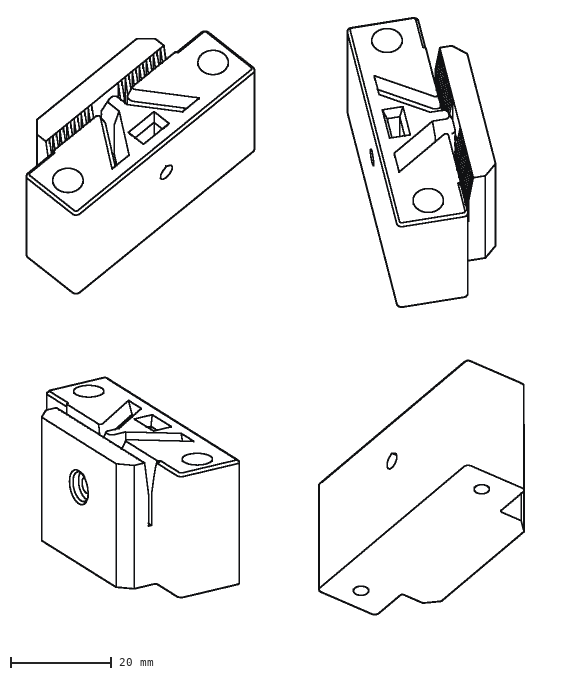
import cadquery as cq
import math

WIDTH = 22.15
LENGTH = 51.0
HEIGHT = 26.5

BODY_FACE_X = 7.75
BODY_CORNER_RADIUS = 1.0
TOP_CHAMFER = 0.55

PLATE_HALF_LENGTH = 16.7
PLATE_CHAMFER = 2.6
ROOT_RADIUS = 0.5

CHANNEL_DEPTH = 13.75
CHANNEL_FRONT_X = 5.05
CHANNEL_END_X = 19.2
SLOT_FLARE_DEPTH = 7.0
BRANCH_SLOPE = math.tan(math.radians(35.2))

TOOTH_PITCH = 2.0
TOOTH_WIDTH = TOOTH_PITCH / 2
TOOTH_HEIGHT = 0.9
TEETH_PER_SIDE = 7

OUTER_END_Y = 12.35
OUTER_CORNER_RADIUS = 0.5
OUTER_FLARE = 1.05
OUTER_FLARE_DEPTH = 2.55

NOSE_X = 6.65
NOSE_WIDTH = 2.3
NOSE_SHOULDER_X = 10.15
NOSE_RADIUS = 0.85
NOSE_FLARE = 1.0
NOSE_FLARE_DEPTH = 3.65

NUT_CENTER_X = 17.25
NUT_THICKNESS = 2.55
NUT_WIDTH = 5.6
NUT_FLARE = 0.8
NUT_FLARE_DEPTH = 2.05
NUT_POCKET_FLOOR_Z = 13.25

CLAMP_HOLE_Z = 16.45
CLAMP_HOLE_DIAMETER = 3.3
CLAMP_HOLE_TIP_HEIGHT = 1.95
CLAMP_BORE_DIAMETER = 6.0
CLAMP_BORE_DEPTH = 1.8
CLAMP_BORE_CHAMFER = 0.5

MOUNT_X = (BODY_FACE_X + WIDTH) / 2
MOUNT_Y = 20.5
MOUNT_HOLE_DIAMETER = 3.0
MOUNT_BORE_DIAMETER = 6.0
MOUNT_BORE_DEPTH = HEIGHT / 2


def make_body():
    body = (
        cq.Workplane("XY")
        .center(MOUNT_X, 0)
        .rect(WIDTH - BODY_FACE_X, LENGTH)
        .extrude(HEIGHT)
        .edges("|Z")
        .fillet(BODY_CORNER_RADIUS)
    )
    return body.faces(">Z").chamfer(TOP_CHAMFER)


def make_plate():
    """Plate with chamfered outer corners and concave fillets where it meets the body."""
    half = PLATE_HALF_LENGTH
    inner_x = BODY_FACE_X + TOP_CHAMFER
    inner_y = half + ROOT_RADIUS + TOP_CHAMFER / 2
    arc_start = (BODY_FACE_X - ROOT_RADIUS, half)
    arc_inset = ROOT_RADIUS * (1 - math.sqrt(0.5))
    arc_middle = (BODY_FACE_X - arc_inset, half + arc_inset)
    arc_end = (BODY_FACE_X, half + ROOT_RADIUS)
    half_plate = (
        cq.Workplane("XY")
        .lineTo(0, half - PLATE_CHAMFER)
        .lineTo(PLATE_CHAMFER, half)
        .lineTo(*arc_start)
        .threePointArc(arc_middle, arc_end)
        .lineTo(inner_x, inner_y)
        .lineTo(inner_x, 0)
        .close()
        .extrude(HEIGHT)
    )
    return half_plate.union(half_plate.mirror("XZ"))


def branch_wall(outline, flare, flare_depth):
    """Solid that widens by the flare below the top face, then drops straight to the channel floor."""
    break_z = HEIGHT - flare_depth
    floor_z = HEIGHT - CHANNEL_DEPTH
    top = outline(0).wires().val().moved(cq.Location(cq.Vector(0, 0, HEIGHT)))
    middle = outline(flare).wires().val().moved(cq.Location(cq.Vector(0, 0, break_z)))
    bottom = outline(flare).wires().val().moved(cq.Location(cq.Vector(0, 0, floor_z)))
    upper = cq.Solid.makeLoft([top, middle], True)
    lower = cq.Solid.makeLoft([middle, bottom], True)
    return cq.Workplane(upper).union(cq.Workplane(lower))


def rise(flare):
    """Shift along Y that moves a branch wall sideways by the flare."""
    return flare * math.hypot(1, BRANCH_SLOPE)


def outer_outline(flare):
    """Outer channel wall on the +Y side, rounded where slot and branch meet."""
    front_x = BODY_FACE_X - flare
    radius = OUTER_CORNER_RADIUS + flare
    end_y = OUTER_END_Y - rise(flare)
    far_y = LENGTH / 2
    corner_y = end_y - BRANCH_SLOPE * (CHANNEL_END_X - front_x)
    angle = math.atan(BRANCH_SLOPE)
    tangent = radius / math.tan((math.pi / 2 - angle) / 2)
    center_x = front_x + radius
    center_y = corner_y + tangent
    middle_angle = math.pi + (math.pi / 2 + angle) / 2
    end_angle = 3 * math.pi / 2 + angle
    arc = [
        (center_x + radius * math.cos(a), center_y + radius * math.sin(a))
        for a in (middle_angle, end_angle)
    ]
    return (
        cq.Workplane("XY")
        .moveTo(front_x, far_y)
        .lineTo(front_x, center_y)
        .threePointArc(*arc)
        .lineTo(CHANNEL_END_X, end_y)
        .lineTo(CHANNEL_END_X, far_y)
        .close()
    )


def wedge_outline(flare):
    """Arrow-shaped wedge between the branches, its nose pointing at the plate."""
    nose_x = NOSE_X - flare
    half = NOSE_WIDTH / 2 + flare
    straight = half - NOSE_RADIUS
    arc_inset = NOSE_RADIUS * (1 - math.sqrt(0.5))
    shoulder_x = NOSE_SHOULDER_X + (flare - rise(flare)) / BRANCH_SLOPE
    end_y = half + BRANCH_SLOPE * (CHANNEL_END_X - shoulder_x)
    return (
        cq.Workplane("XY")
        .moveTo(nose_x, -straight)
        .lineTo(nose_x, straight)
        .threePointArc((nose_x + arc_inset, half - arc_inset), (nose_x + NOSE_RADIUS, half))
        .lineTo(shoulder_x, half)
        .lineTo(CHANNEL_END_X, end_y)
        .lineTo(CHANNEL_END_X, -end_y)
        .lineTo(shoulder_x, -half)
        .lineTo(nose_x + NOSE_RADIUS, -half)
        .threePointArc((nose_x + arc_inset, arc_inset - half), (nose_x, -straight))
        .close()
    )


def make_teeth():
    """Two rows of upright teeth with a sloped lead-in, the outermost flush with the plate ends."""
    floor_z = HEIGHT - CHANNEL_DEPTH
    tip_x = CHANNEL_FRONT_X + TOOTH_HEIGHT
    profile = [
        (CHANNEL_FRONT_X, HEIGHT),
        (tip_x, HEIGHT - SLOT_FLARE_DEPTH),
        (tip_x, floor_z),
        (CHANNEL_FRONT_X, floor_z),
    ]
    tooth = cq.Workplane("XZ").polyline(profile).close().extrude(TOOTH_WIDTH)
    teeth = cq.Workplane("XY")
    for index in range(TEETH_PER_SIDE):
        outer_y = PLATE_HALF_LENGTH - index * TOOTH_PITCH
        teeth = teeth.union(tooth.translate((0, outer_y, 0)))
        teeth = teeth.union(tooth.translate((0, TOOTH_WIDTH - outer_y, 0)))
    return teeth


def make_outer_wall():
    """Outer wall on the +Y side; its slot face slopes more gently than its branch face."""
    floor_z = HEIGHT - CHANNEL_DEPTH
    foot_x = BODY_FACE_X - OUTER_FLARE
    profile = [
        (BODY_FACE_X, HEIGHT),
        (foot_x, HEIGHT - SLOT_FLARE_DEPTH),
        (foot_x, floor_z),
        (CHANNEL_END_X, floor_z),
        (CHANNEL_END_X, HEIGHT),
    ]
    slot_side = cq.Workplane("XZ").polyline(profile).close().extrude(-LENGTH / 2)
    return slot_side.intersect(branch_wall(outer_outline, OUTER_FLARE, OUTER_FLARE_DEPTH))


def make_channel():
    half = PLATE_HALF_LENGTH + ROOT_RADIUS
    start = cq.Workplane("XY", origin=(CHANNEL_FRONT_X, 0, HEIGHT - CHANNEL_DEPTH))
    span = CHANNEL_END_X - CHANNEL_FRONT_X
    channel = start.box(span, 2 * half, CHANNEL_DEPTH, centered=(False, True, False))
    outer_wall = make_outer_wall()
    wedge = branch_wall(wedge_outline, NOSE_FLARE, NOSE_FLARE_DEPTH)
    return channel.cut(outer_wall).cut(outer_wall.mirror("XZ")).cut(wedge).cut(make_teeth())


def make_nut_pocket():
    break_z = HEIGHT - NUT_FLARE_DEPTH
    mouth = (
        cq.Workplane("XY", origin=(NUT_CENTER_X, 0, break_z))
        .rect(NUT_THICKNESS, NUT_WIDTH)
        .workplane(offset=NUT_FLARE_DEPTH)
        .rect(NUT_THICKNESS + 2 * NUT_FLARE, NUT_WIDTH + 2 * NUT_FLARE)
        .loft(ruled=True)
    )
    shaft = (
        cq.Workplane("XY", origin=(NUT_CENTER_X, 0, NUT_POCKET_FLOOR_Z))
        .rect(NUT_THICKNESS, NUT_WIDTH)
        .extrude(break_z - NUT_POCKET_FLOOR_Z)
    )
    return mouth.union(shaft)


def make_clamp_hole():
    """Teardrop through hole along X with a chamfered counterbore in the plate."""
    start = cq.Workplane("YZ", origin=(0, 0, CLAMP_HOLE_Z))
    hole_radius = CLAMP_HOLE_DIAMETER / 2
    tangent_angle = math.asin(hole_radius / CLAMP_HOLE_TIP_HEIGHT)
    tangent_y = hole_radius * math.cos(tangent_angle)
    tangent_z = hole_radius * math.sin(tangent_angle)
    hole = (
        start.moveTo(0, CLAMP_HOLE_TIP_HEIGHT)
        .lineTo(-tangent_y, tangent_z)
        .threePointArc((0, -hole_radius), (tangent_y, tangent_z))
        .close()
        .extrude(WIDTH)
    )
    bore_radius = CLAMP_BORE_DIAMETER / 2
    bore = start.circle(bore_radius).extrude(CLAMP_BORE_DEPTH)
    mouth = (
        start.circle(bore_radius + CLAMP_BORE_CHAMFER)
        .workplane(offset=CLAMP_BORE_CHAMFER)
        .circle(bore_radius)
        .loft()
    )
    return hole.union(bore).union(mouth)


block = make_body().union(make_plate())
block = block.cut(make_channel()).cut(make_nut_pocket()).cut(make_clamp_hole())

result = (
    block.faces(">Z")
    .workplane(origin=(0, 0, HEIGHT))
    .pushPoints([(MOUNT_X, -MOUNT_Y), (MOUNT_X, MOUNT_Y)])
    .cboreHole(MOUNT_HOLE_DIAMETER, MOUNT_BORE_DIAMETER, MOUNT_BORE_DEPTH)
)